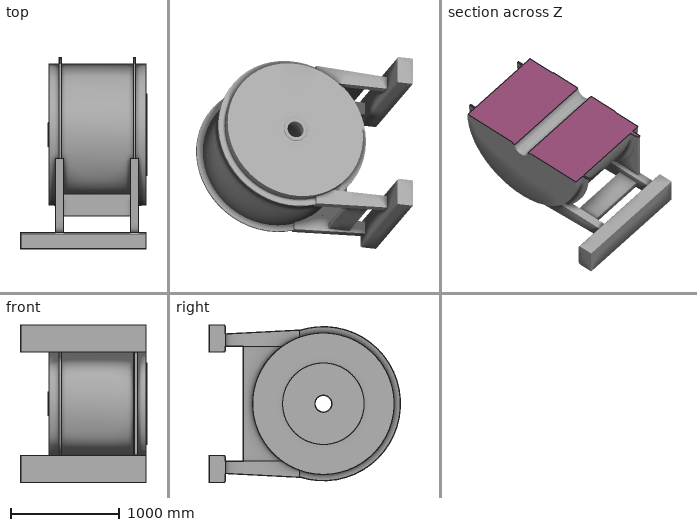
import cadquery as cq


drum_left = 259.0
drum_right = 1153.0
drum_diameter = 1300.0
bore_diameter = 153.0
hub_diameter = 220.0
hub_height = 9.0
hub_edge_radius = 7.0
boss_diameter = 750.0
boss_height = 7.0

flange_radius = 710.0
flange_thickness = 20.0
flange_lefts = (354.0, 1038.0)

arm_width = 75.0
arm_lefts = (319.0, 1008.0)
arm_back = -222.0
arm_inner_z = 528.0
arm_back_outer_z = 678.0
arm_front_outer_z = 642.0

foot_front = -1050.0
foot_depth = 150.0
foot_back = foot_front + foot_depth
foot_height = 250.0
foot_outer_z = 725.0
foot_edge_radius = 20.0

cross_back = -547.0
cross_front = -750.0
cross_inner_z = 586.0
cross_thickness = 50.0

plate_left = 1047.0
plate_thickness = 28.0
plate_front = -737.0


def box(x0, x1, y0, y1, z0, z1):
    """Box between two opposite corners."""
    return cq.Workplane("XY").box(x1 - x0, y1 - y0, z1 - z0, centered=False).translate((x0, y0, z0))


def disc(left, length, diameter):
    """Cylinder on the drum axis, starting at X = left."""
    return cq.Workplane("YZ", origin=(left, 0, 0)).circle(diameter / 2).extrude(length)


def make_drum():
    drum = disc(drum_left, drum_right - drum_left, drum_diameter)
    hub = disc(drum_left - hub_height, hub_height, hub_diameter)
    hub = hub.faces("<X").edges().fillet(hub_edge_radius)
    drum = drum.union(hub)
    drum = drum.union(disc(drum_right, boss_height, boss_diameter))
    for left in flange_lefts:
        drum = drum.union(disc(left, flange_thickness, 2 * flange_radius))
    return drum


def make_arm(left):
    """Upper arm, tapering on its outer side towards the foot."""
    outline = [
        (arm_back, arm_inner_z),
        (foot_back, arm_inner_z),
        (foot_back, arm_front_outer_z),
        (arm_back, arm_back_outer_z),
    ]
    return cq.Workplane("YZ", origin=(left, 0, 0)).polyline(outline).close().extrude(arm_width)


def make_upper_frame():
    """Foot, two arms and the cross member between them."""
    foot = box(0, drum_right, foot_front, foot_back, foot_outer_z - foot_height, foot_outer_z)
    frame = foot.faces(">Y").edges("|X").fillet(foot_edge_radius)
    for left in arm_lefts:
        frame = frame.union(make_arm(left))
    cross_member = box(
        arm_lefts[0] + arm_width, arm_lefts[1],
        cross_front, cross_back,
        cross_inner_z, cross_inner_z + cross_thickness,
    )
    return frame.union(cross_member)


def make_plate():
    plate_right = plate_left + plate_thickness
    return box(plate_left, plate_right, plate_front, 0, -arm_inner_z, arm_inner_z)


upper_frame = make_upper_frame()
lower_frame = upper_frame.mirror("XY")
bore = disc(0, drum_right + boss_height, bore_diameter)

result = make_drum().union(upper_frame).union(lower_frame).union(make_plate()).cut(bore)